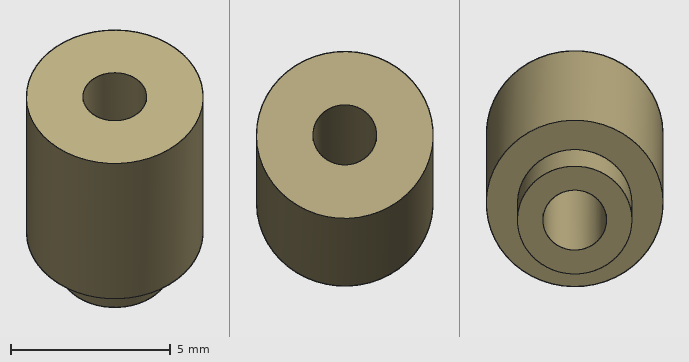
import cadquery as cq

total_height = 8.03
body_diameter = 5.56
spigot_diameter = 3.6
spigot_height = 1.55
bore_diameter = 2.0

body_height = total_height - spigot_height

spigot = cq.Workplane("XY").circle(spigot_diameter / 2).extrude(spigot_height)

body = (
    cq.Workplane("XY")
    .workplane(offset=spigot_height)
    .circle(body_diameter / 2)
    .extrude(body_height)
)

bore = cq.Workplane("XY").circle(bore_diameter / 2).extrude(total_height)

result = spigot.union(body).cut(bore)